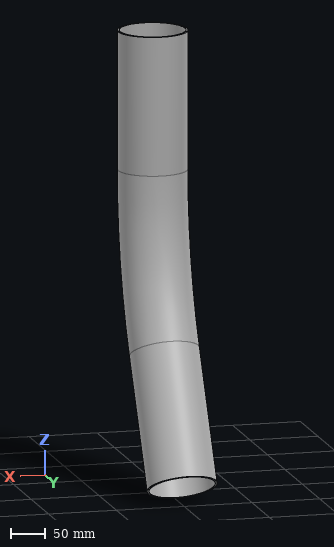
import cadquery as cq
import math

outer_diameter = 101.6
inner_diameter = 95.5
bend_angle = 30.0
bend_radius = 5 * outer_diameter
leg_length = 2 * outer_diameter


def bend_point(angle):
    """Centreline point of the bend, at an angle in degrees from its upper end."""
    turn = math.radians(angle)
    return (
        bend_radius * (1 - math.cos(turn)),
        -bend_radius * math.sin(turn),
    )


def centreline():
    """Tube centreline in the YZ plane: upper leg, tangent bend, lower leg."""
    bend_end_y, bend_end_z = bend_point(bend_angle)
    tilt = math.radians(bend_angle)
    lower_end = (
        bend_end_y + leg_length * math.sin(tilt),
        bend_end_z - leg_length * math.cos(tilt),
    )
    return (
        cq.Workplane("YZ")
        .moveTo(0, leg_length)
        .lineTo(0, 0)
        .threePointArc(bend_point(bend_angle / 2), (bend_end_y, bend_end_z))
        .lineTo(*lower_end)
    )


def bent_tube():
    """Ring section swept along the centreline, open at both ends."""
    return (
        cq.Workplane("XY", origin=(0, 0, leg_length))
        .circle(outer_diameter / 2)
        .circle(inner_diameter / 2)
        .sweep(centreline())
    )


result = bent_tube()